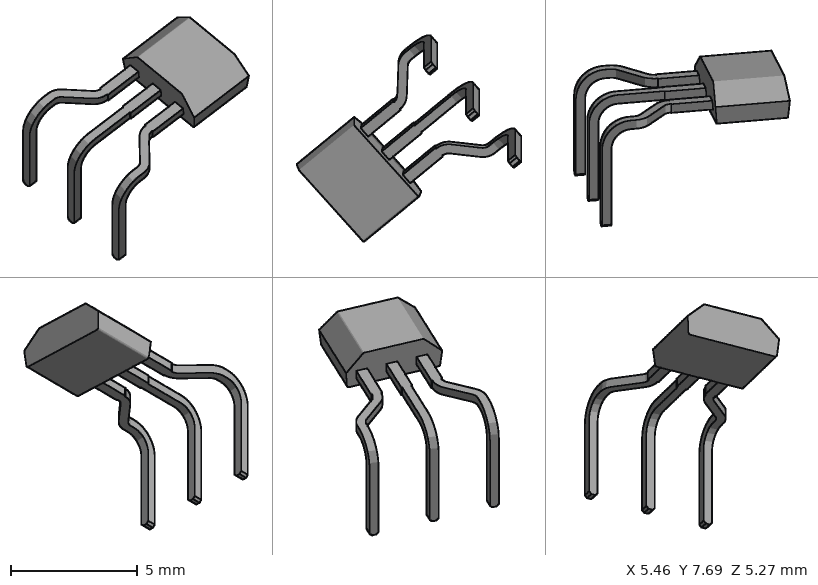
import math

import cadquery as cq


overall_depth = 7.69
overall_height = 5.27

body_width = 4.06
body_depth = 3.0
body_offset_x = 0.1
upper_height = 0.76
lower_height = 0.79
shoulder_angle = 45.0
draft_angle = 5.0
body_edge_radius = 0.1

lead_thickness = 0.38
lead_width = 0.38
neck_width = 0.46
neck_length = 1.65
neck_pitch = 1.27
pin_pitch = 2.54
jog_angle = 47.5
neck_jog_radius = 0.6
pin_jog_radius = 0.56
down_bend_inner_radius = 0.78
tip_chamfer = 0.1

lead_mid_z = -lead_thickness / 2
down_bend_radius = down_bend_inner_radius + lead_thickness / 2
pin_tip_z = upper_height - overall_height
body_back_y = overall_depth - lead_thickness / 2
body_front_y = body_back_y - body_depth
body_mid_y = (body_back_y + body_front_y) / 2
neck_end_y = body_front_y - neck_length
down_bend_y = down_bend_radius

draft_slope = math.tan(math.radians(draft_angle))


def make_body():
    """Body cross-section along Y, trimmed by drafted front and back faces."""
    half_width = body_width / 2
    half_top = half_width - upper_height / math.tan(math.radians(shoulder_angle))
    half_bottom = half_width - lower_height * draft_slope
    section = (
        cq.Workplane("XZ", origin=(body_offset_x, body_back_y, 0))
        .polyline([
            (-half_width, 0),
            (-half_top, upper_height),
            (half_top, upper_height),
            (half_width, 0),
            (half_bottom, -lower_height),
            (-half_bottom, -lower_height),
        ])
        .close()
        .extrude(body_depth)
    )
    section = section.faces("<Z or >Z").edges("|Y").fillet(body_edge_radius)

    half_depth = body_depth / 2
    half_top_depth = half_depth - upper_height * draft_slope
    half_bottom_depth = half_depth - lower_height * draft_slope
    side_profile = (
        cq.Workplane("YZ", origin=(body_offset_x, body_mid_y, 0))
        .polyline([
            (-half_depth, 0),
            (-half_top_depth, upper_height),
            (half_top_depth, upper_height),
            (half_depth, 0),
            (half_bottom_depth, -lower_height),
            (-half_bottom_depth, -lower_height),
        ])
        .close()
        .extrude(half_width, both=True)
    )
    return section.intersect(side_profile)


def make_neck(neck_x):
    """Wide straight part of a lead, rooted inside the body."""
    length = body_mid_y - neck_end_y
    return cq.Workplane("XY").box(
        neck_width, length, lead_thickness, centered=(True, False, True)
    ).translate((neck_x, neck_end_y, lead_mid_z))


def arc_reach(radius):
    """Sideways and lengthwise reach of a jog bend at its midpoint and at its end."""
    end_angle = math.radians(jog_angle)
    return [
        (radius * (1 - math.cos(angle)), radius * math.sin(angle))
        for angle in (end_angle / 2, end_angle)
    ]


def make_run(side):
    """Flat part from the neck to the downward bend; outer leads jog sideways by `side`."""
    neck_x = side * neck_pitch
    path = cq.Workplane("XY", origin=(0, 0, lead_mid_z)).moveTo(neck_x, neck_end_y)
    if side != 0:
        neck_mid, neck_arc = arc_reach(neck_jog_radius)
        pin_mid, pin_arc = arc_reach(pin_jog_radius)
        pin_x = side * pin_pitch
        slant_x = pin_pitch - neck_pitch - neck_arc[0] - pin_arc[0]
        slant_y = slant_x / math.tan(math.radians(jog_angle))
        jog_end_y = neck_end_y - neck_arc[1] - slant_y - pin_arc[1]
        path = (
            path
            .threePointArc(
                (neck_x + side * neck_mid[0], neck_end_y - neck_mid[1]),
                (neck_x + side * neck_arc[0], neck_end_y - neck_arc[1]),
            )
            .lineTo(pin_x - side * pin_arc[0], jog_end_y + pin_arc[1])
            .threePointArc(
                (pin_x - side * pin_mid[0], jog_end_y + pin_mid[1]),
                (pin_x, jog_end_y),
            )
        )
    path = path.lineTo(side * pin_pitch, down_bend_y)
    section = cq.Workplane("XZ", origin=(neck_x, neck_end_y, lead_mid_z))
    return section.rect(lead_width, lead_thickness).sweep(path)


def make_pin(pin_x):
    """Downward bend and vertical pin with a chamfered tip."""
    bend_end_z = lead_mid_z - down_bend_radius
    bend = (
        cq.Workplane("XZ", origin=(pin_x, down_bend_y, lead_mid_z))
        .rect(lead_width, lead_thickness)
        .revolve(90, (-1, -down_bend_radius), (1, -down_bend_radius))
    )
    shank = (
        cq.Workplane("XY", origin=(pin_x, 0, bend_end_z))
        .rect(lead_width, lead_thickness)
        .extrude(pin_tip_z - bend_end_z)
        .faces("<Z")
        .edges("|Y")
        .chamfer(tip_chamfer)
    )
    return bend.union(shank)


result = make_body()
for lead_side in (-1, 0, 1):
    result = result.union(make_neck(lead_side * neck_pitch))
    result = result.union(make_run(lead_side))
    result = result.union(make_pin(lead_side * pin_pitch))